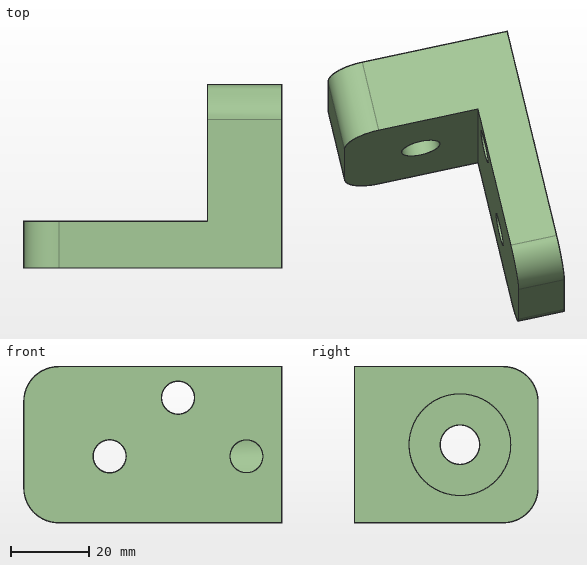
import cadquery as cq

length = 66.0
depth = 47.0
height = 40.0
plate_thickness = 12.0
arm_thickness = 19.0
corner_radius = 9.0
mid_height = height / 2

plate_hole_diameter = 8.4
left_hole_x = 22.0
hole_spacing = 35.0
upper_hole_rise = 15.0
right_hole_x = left_hole_x + hole_spacing
left_hole_z = 17.0
plate_holes = [
    (left_hole_x, left_hole_z),
    (left_hole_x + hole_spacing / 2, left_hole_z + upper_hole_rise),
    (right_hole_x, left_hole_z),
]

arm_hole_diameter = 10.0
arm_hole_y = 27.0
pocket_diameter = 26.0
pocket_floor = 5.0


def make_plate():
    plate = cq.Workplane("XY").box(length, plate_thickness, height, centered=False)
    return plate.edges("|Y and <X").fillet(corner_radius)


def make_arm():
    arm = cq.Workplane("XY").box(arm_thickness, depth, height, centered=False)
    arm = arm.edges("|X and >Y").fillet(corner_radius)
    return arm.translate((length - arm_thickness, 0, 0))


def cylinder_along_x(diameter, start_x):
    """Cylinder on the arm bore axis, from start_x to the outer face."""
    plane = cq.Workplane("YZ", origin=(start_x, arm_hole_y, mid_height))
    return plane.circle(diameter / 2).extrude(length - start_x)


def make_plate_holes():
    """Holes running from the front face to the arm bore axis, opening into the pocket at the right."""
    plane = cq.Workplane("XZ").pushPoints(plate_holes)
    return plane.circle(plate_hole_diameter / 2).extrude(-arm_hole_y)


arm_start = length - arm_thickness
result = make_plate().union(make_arm())
result = result.cut(make_plate_holes())
result = result.cut(cylinder_along_x(arm_hole_diameter, arm_start))
result = result.cut(cylinder_along_x(pocket_diameter, arm_start + pocket_floor))